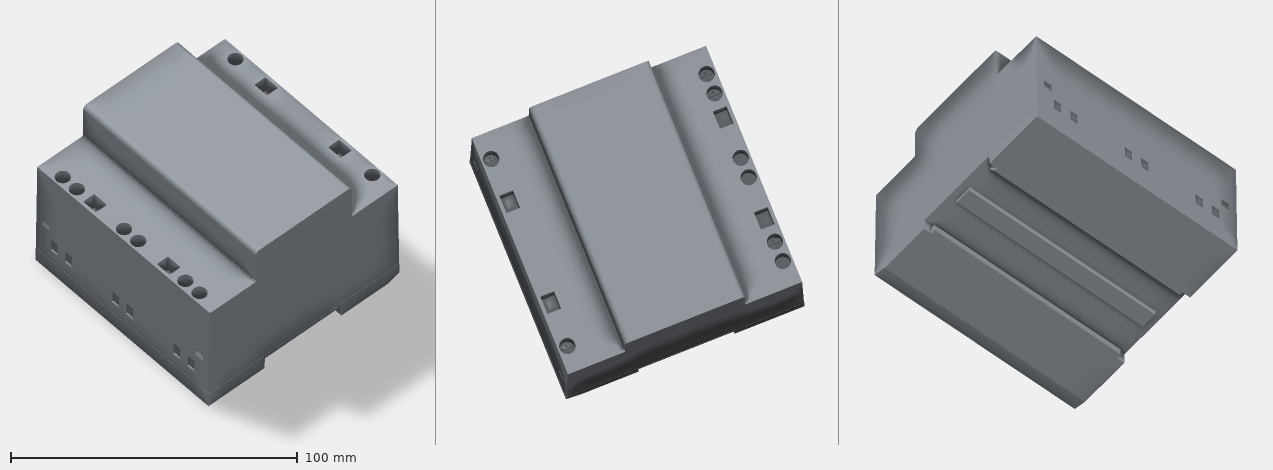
import cadquery as cq

length = 90.3
depth = 89.5
height = 65.0

seam_z = 6.5
seam_step = 0.1
shoulder_z = 49.2
shoulder_depth = 87.95
block_depth = 45.0
block_edge_radius = 2.0
block_foot_width = 0.4
block_foot_height = 0.4

channel_top_z = 5.0
channel_back_y = 17.5
channel_front_y = -18.2
channel_front_foot_y = -18.6
channel_kink_z = 3.2
back_chamfer_y = 5.7
back_chamfer_z = 1.9

rail_part_inset = 3.25
rail_part_length = length - 2 * rail_part_inset
hook_reach = 2.0
hook_height = 3.3
hook_chamfer = 0.4
stud_top_width = 7.8
stud_bottom_width = 6.7
stud_bottom_z = 3.4
clip_base_y = -19.0
clip_bottom_z = 0.4
clip_bottom_y = -17.0
clip_tip = (-14.7, 3.6)
clip_top_front = (-15.5, 4.3)
clip_top_back = (-17.3, 4.7)

pair_pitch = 32.0
pair_half_spacing = 3.7
pair_centers = [-pair_pitch, 0, pair_pitch]
outer_terminal_x = pair_pitch + pair_half_spacing
inner_terminal_x = pair_pitch - pair_half_spacing
center_terminal_x = pair_half_spacing

well_y = 40.45
well_diameter = 5.7
well_depth = 7.2
slot_length = 3.6
slot_width = 0.8
slot_depth = 1.1
cross_width = 1.2
cross_depth = 0.7
front_screws_x = [-inner_terminal_x, inner_terminal_x, outer_terminal_x]
back_screws_x = [-outer_terminal_x, outer_terminal_x]
front_open_wells_x = [-outer_terminal_x, -center_terminal_x, center_terminal_x]

pocket_x = 19.2
pocket_y = 40.1
pocket_length = 6.6
pocket_width = 5.15
pocket_depth = 7.2

window_width = 3.6
window_height = 5.4
window_z = 14.6
recess_depth = 0.7

catch_x = 40.0
catch_z = 23.2
catch_size = 3.6
ramp_top_z = 24.1
ramp_tip_z = 21.85

half_depth = depth / 2
half_body = half_depth - seam_step
body_length = length - 2 * seam_step
half_shoulder = shoulder_depth / 2


def extrude_along_x(points, size):
    """Extrude a (Y, Z) outline along X, centred on X = 0."""
    return cq.Workplane("YZ").polyline(points).close().extrude(size / 2, both=True)


def box(size_x, size_y, size_z, x, y, z):
    """A box centred at (x, y, z)."""
    return cq.Workplane("XY").box(size_x, size_y, size_z).translate((x, y, z))


def face_y(z):
    """Distance of the drafted long face from the middle plane at height z."""
    return half_body - (half_body - half_shoulder) * (z - seam_z) / (shoulder_z - seam_z)


def make_housing():
    """Base with the rail channel, drafted body, and rounded block on a small foot."""
    base = extrude_along_x(
        [
            (-half_depth, 0),
            (channel_front_foot_y, 0),
            (channel_front_foot_y, channel_kink_z),
            (channel_front_y, channel_kink_z),
            (channel_front_y, channel_top_z),
            (channel_back_y, channel_top_z),
            (channel_back_y, 0),
            (half_depth - back_chamfer_y, 0),
            (half_depth, back_chamfer_z),
            (half_depth, seam_z),
            (-half_depth, seam_z),
        ],
        length,
    )
    body = extrude_along_x(
        [
            (-half_body, seam_z),
            (half_body, seam_z),
            (half_shoulder, shoulder_z),
            (-half_shoulder, shoulder_z),
        ],
        body_length,
    )
    block_height = height - shoulder_z
    block = box(body_length, block_depth, block_height, 0, 0, shoulder_z + block_height / 2)
    block = block.edges("|X and >Z").fillet(block_edge_radius)
    foot_depth = block_depth + 2 * block_foot_width
    foot = box(body_length, foot_depth, block_foot_height, 0, 0, shoulder_z + block_foot_height / 2)
    return base.union(body).union(block).union(foot)


def make_hook():
    hook_y = channel_back_y - hook_reach
    return extrude_along_x(
        [
            (channel_back_y + hook_reach, 0),
            (hook_y, 0),
            (hook_y, hook_height - hook_chamfer),
            (hook_y + hook_chamfer, hook_height),
            (channel_back_y + hook_reach, hook_height),
        ],
        rail_part_length,
    )


def make_stud():
    return extrude_along_x(
        [
            (-stud_top_width / 2, channel_top_z),
            (-stud_bottom_width / 2, stud_bottom_z),
            (stud_bottom_width / 2, stud_bottom_z),
            (stud_top_width / 2, channel_top_z),
        ],
        rail_part_length,
    )


def make_clip():
    return extrude_along_x(
        [
            (clip_base_y, clip_bottom_z),
            (clip_bottom_y, clip_bottom_z),
            clip_tip,
            clip_top_front,
            clip_top_back,
            (clip_base_y, clip_top_back[1]),
        ],
        rail_part_length,
    )


def make_well(x, y):
    floor_z = shoulder_z - well_depth
    return cq.Workplane("XY", origin=(x, y, floor_z)).circle(well_diameter / 2).extrude(well_depth)


def make_screw_well(x, y):
    """A well whose floor is a screw head with a long slot and a shallower cross slot."""
    floor_z = shoulder_z - well_depth
    slot = box(slot_length, slot_width, 2 * slot_depth, x, y, floor_z)
    head = cq.Workplane("XY", origin=(x, y, floor_z)).circle(well_diameter / 2).extrude(-cross_depth)
    cross = box(cross_width, well_diameter, 2 * cross_depth, x, y, floor_z).intersect(head)
    return make_well(x, y).union(cross).union(slot)


def make_recess(x, z, size_x, size_z, side):
    """A shallow recess parallel to the drafted face; side is -1 for front, 1 for back."""
    lower_z = z - size_z / 2
    upper_z = z + size_z / 2
    outline = [
        (side * (face_y(lower_z) - recess_depth), lower_z),
        (side * (face_y(upper_z) - recess_depth), upper_z),
        (side * (face_y(upper_z) + recess_depth), upper_z),
        (side * (face_y(lower_z) + recess_depth), lower_z),
    ]
    return extrude_along_x(outline, size_x).translate((x, 0, 0))


def make_ramp(x, side):
    """A wedge rising from the recess floor to the plane of the base end."""
    root_y = face_y(ramp_tip_z) - 2 * recess_depth
    outline = [
        (side * root_y, ramp_top_z),
        (side * (face_y(ramp_top_z) - recess_depth), ramp_top_z),
        (side * half_depth, ramp_tip_z),
        (side * root_y, ramp_tip_z),
    ]
    return extrude_along_x(outline, catch_size).translate((x, 0, 0))


result = make_housing().union(make_hook()).union(make_stud()).union(make_clip())

for x in front_screws_x:
    result = result.cut(make_screw_well(x, -well_y))
for x in back_screws_x:
    result = result.cut(make_screw_well(x, well_y))
for x in front_open_wells_x:
    result = result.cut(make_well(x, -well_y))

for x in (-pocket_x, pocket_x):
    for y in (-pocket_y, pocket_y):
        pocket = box(pocket_length, pocket_width, 2 * pocket_depth, x, y, shoulder_z)
        result = result.cut(pocket)

for pair_x in pair_centers:
    for offset in (-pair_half_spacing, pair_half_spacing):
        result = result.cut(make_recess(pair_x + offset, window_z, window_width, window_height, -1))

for x in (-catch_x, catch_x):
    for side in (-1, 1):
        result = result.cut(make_recess(x, catch_z, catch_size, catch_size, side))
        result = result.union(make_ramp(x, side))